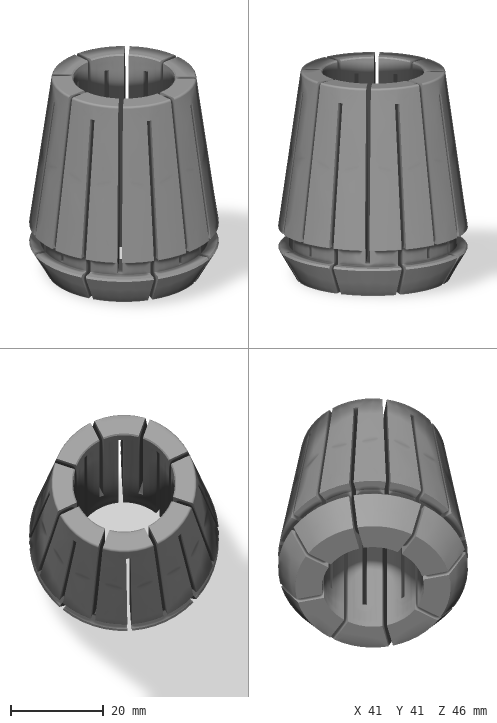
import math

import cadquery as cq

total_height = 46.0
max_radius = 20.5
bore_radius = 11.0

head_taper = math.radians(30)
head_height = 7.0
head_edge_chamfer_height = 0.45
head_edge_chamfer_width = 0.3
neck_radius = 18.15
neck_fillet = 0.2
cone_base_z = 11.05
edge_land = 0.1

cone_taper = math.radians(8)
top_edge_fillet = 0.5
bore_chamfer = 0.3

slot_count = 8
slot_width = 1.0
lower_slot_end_z = 42.5
upper_slot_floor_z = 7.5

slot_pitch = 360 / slot_count
head_rim_z = head_height - head_edge_chamfer_height
head_base_radius = max_radius - (head_rim_z - edge_land) * math.tan(head_taper)
cone_start_z = cone_base_z + edge_land
cone_top_radius = max_radius - (total_height - cone_start_z) * math.tan(cone_taper)

top_round_reach = top_edge_fillet * math.tan((math.pi / 2 - cone_taper) / 2)
top_round_start = (
    cone_top_radius + top_round_reach * math.sin(cone_taper),
    total_height - top_round_reach * math.cos(cone_taper),
)
top_round_end_radius = cone_top_radius - top_round_reach


def make_body():
    """Revolve the half section of the collet about the Z axis."""
    section = (
        cq.Workplane("XZ")
        .moveTo(bore_radius, 0)
        .lineTo(head_base_radius, 0)
        .lineTo(head_base_radius, edge_land)
        .lineTo(max_radius, head_rim_z)
        .lineTo(max_radius - head_edge_chamfer_width, head_height)
        .lineTo(neck_radius + neck_fillet, head_height)
        .radiusArc((neck_radius, head_height + neck_fillet), neck_fillet)
        .lineTo(neck_radius, cone_base_z)
        .lineTo(max_radius, cone_base_z)
        .lineTo(max_radius, cone_start_z)
        .lineTo(*top_round_start)
        .radiusArc((top_round_end_radius, total_height), -top_edge_fillet)
        .lineTo(bore_radius + bore_chamfer, total_height)
        .lineTo(bore_radius, total_height - bore_chamfer)
        .close()
    )
    return section.revolve(360, (0, 0), (0, 1))


def make_slots(bottom_z, top_z, first_angle):
    """Radial slot cutters from the axis to beyond the wall, evenly spaced around Z."""
    blade_length = 2 * max_radius
    slots = cq.Workplane("XY")
    for index in range(slot_count):
        blade = (
            cq.Workplane("XY")
            .workplane(offset=bottom_z)
            .rect(blade_length, slot_width)
            .extrude(top_z - bottom_z)
            .translate((blade_length / 2, 0, 0))
            .rotate((0, 0, 0), (0, 0, 1), first_angle + index * slot_pitch)
        )
        slots = slots.add(blade)
    return slots.combine()


lower_slots = make_slots(0, lower_slot_end_z, 0)

upper_slots = make_slots(upper_slot_floor_z, total_height, slot_pitch / 2)

result = make_body().cut(lower_slots).cut(upper_slots)